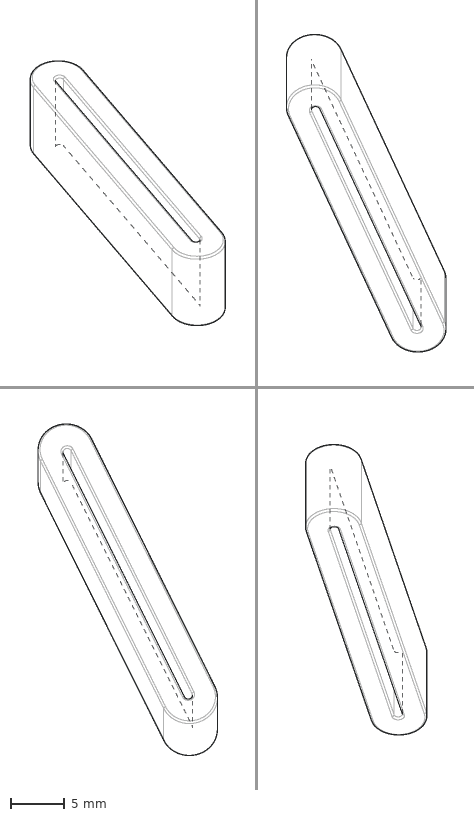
import cadquery as cq

length = 33.0
width = 5.3
height = 8.3
slot_length = 28.0
slot_width = 0.8
edge_radius = 0.2


def rounded_bar(bar_length, bar_width):
    """Full-height bar with full-round ends, centred on the origin."""
    return (
        cq.Workplane("XY")
        .workplane(offset=-height / 2)
        .slot2D(bar_length, bar_width)
        .extrude(height)
    )


def make_housing():
    """Round-ended block with a through slot; block and slot edges are rounded at both ends."""
    block = rounded_bar(length, width)
    slot = rounded_bar(slot_length, slot_width)
    slotted_block = block.cut(slot)
    return slotted_block.faces("<Z or >Z").edges().fillet(edge_radius)


housing = make_housing()

result = cq.Compound.makeCompound([housing.val()])